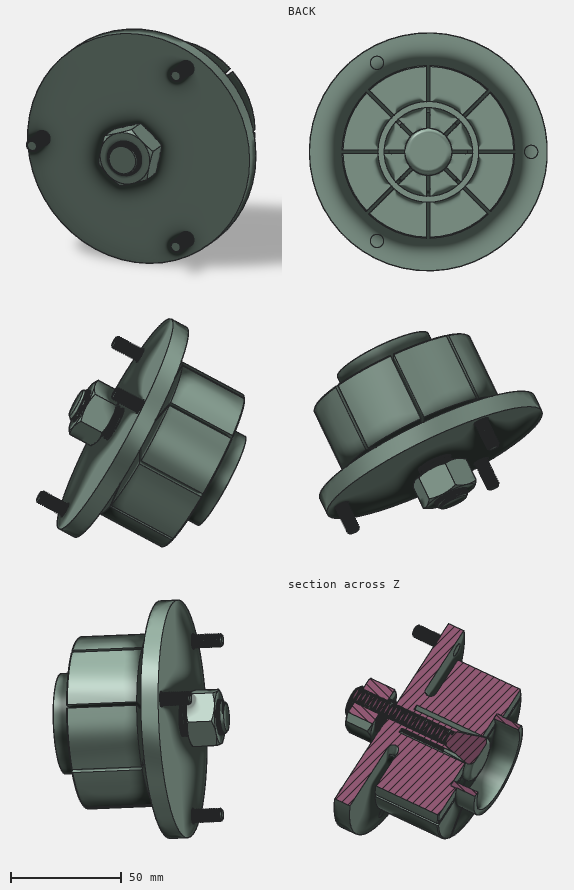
import cadquery as cq
import math


FLANGE_RADIUS = 53.75
FLANGE_THICKNESS = 8.0
NECK_LENGTH = 5.0
NECK_RADIUS = 16.7
NECK_FILLET = NECK_LENGTH / 2
JAW_RADIUS = 39.0
JAW_LENGTH = 32.5
JAW_EDGE_CHAMFER = 0.5
JAW_COUNT = 8
SLOT_WIDTH = 1.6
SLOT_END_GAP = 0.5

NECK_MIDDLE = FLANGE_THICKNESS + NECK_FILLET
JAW_FRONT = FLANGE_THICKNESS + NECK_LENGTH
JAW_BACK = JAW_FRONT + JAW_LENGTH
SLOT_FRONT = FLANGE_THICKNESS + SLOT_END_GAP

RING_RADIUS = 22.75
RING_BORE_RADIUS = 20.0
RING_SEAT_DEPTH = 3.0
RING_PROTRUSION = 9.5
RING_FRONT = JAW_BACK - RING_SEAT_DEPTH
RING_BACK = JAW_BACK + RING_PROTRUSION

BOLT_RADIUS = 8.0
BOLT_PITCH = 2.0
BOLT_TIP_CHAMFER = 1.6
BOLT_TIP = -20.23
CONE_FRONT = 30.0
CONE_BACK = 46.0
CONE_HALF_ANGLE = 11.5
CONE_EDGE_FILLET = 2.5
CONE_BACK_RADIUS = BOLT_RADIUS + (CONE_BACK - CONE_FRONT) * math.tan(math.radians(CONE_HALF_ANGLE))

NUT_ACROSS_FLATS = 24.0
NUT_THICKNESS = 13.0
NUT_BACK = -4.1
NUT_CORNER_ANGLE = 18.0
NUT_CHAMFER_ANGLE = 30.0

STUD_RADIUS = 3.0
STUD_PITCH = 1.0
STUD_PROTRUSION = 13.5
STUD_TIP_CHAMFER = 0.8
STUD_CIRCLE_RADIUS = 46.4
STUD_ANGLES = (60.0, 180.0, 300.0)
STUD_COUNTERSINK = 0.6

THREAD_DEPTH_RATIO = 0.6134
CREST_WIDTH_RATIO = 1 / 8
ROOT_WIDTH_RATIO = 7 / 8


def spun(points):
    """Solid of revolution about the Y axis from an outline of (radius, y) points."""
    return cq.Workplane("XY").polyline(points).close().revolve(360, (0, 0), (0, 1))


def threaded_rod(radius, pitch, tip_y, back_y, tip_chamfer):
    """Threaded rod on the Y axis, chamfered at its -Y tip, with a right-hand helical ridge."""
    root_radius = radius - THREAD_DEPTH_RATIO * pitch
    half_crest = 180 * CREST_WIDTH_RATIO
    half_root = 180 * ROOT_WIDTH_RATIO
    length = back_y - tip_y

    def at(distance, degrees):
        angle = math.radians(degrees)
        return (distance * math.cos(angle), distance * math.sin(angle))

    mid_flank_radius = (radius + root_radius) / 2
    mid_flank = (half_crest + half_root) / 2
    thread = (
        cq.Workplane("XY")
        .moveTo(*at(radius, -half_crest))
        .threePointArc(at(radius, 0), at(radius, half_crest))
        .threePointArc(at(mid_flank_radius, mid_flank), at(root_radius, half_root))
        .threePointArc(at(root_radius, 180), at(root_radius, -half_root))
        .threePointArc(at(mid_flank_radius, -mid_flank), at(radius, -half_crest))
        .close()
        .twistExtrude(length, 360 * length / pitch)
        .rotate((0, 0, 0), (1, 0, 0), 90)
        .translate((0, back_y, 0))
    )
    envelope = spun([
        (0, tip_y),
        (radius - tip_chamfer, tip_y),
        (radius + 1, tip_y + tip_chamfer + 1),
        (radius + 1, back_y),
        (0, back_y),
    ])
    return thread.intersect(envelope, clean=False)


def stud_places():
    """Centres of the studs as (x, z)."""
    return [
        (
            STUD_CIRCLE_RADIUS * math.cos(math.radians(angle)),
            STUD_CIRCLE_RADIUS * math.sin(math.radians(angle)),
        )
        for angle in STUD_ANGLES
    ]


def make_collet():
    """Flange, filleted neck and slotted jaws in one piece, bored for the bolt, ring and studs."""
    neck_edge_radius = NECK_RADIUS + NECK_FILLET
    body = (
        cq.Workplane("XY")
        .moveTo(0, 0)
        .lineTo(FLANGE_RADIUS, 0)
        .lineTo(FLANGE_RADIUS, FLANGE_THICKNESS)
        .lineTo(neck_edge_radius, FLANGE_THICKNESS)
        .radiusArc((NECK_RADIUS, NECK_MIDDLE), NECK_FILLET)
        .radiusArc((neck_edge_radius, JAW_FRONT), NECK_FILLET)
        .lineTo(JAW_RADIUS, JAW_FRONT)
        .lineTo(JAW_RADIUS, JAW_BACK - JAW_EDGE_CHAMFER)
        .lineTo(JAW_RADIUS - JAW_EDGE_CHAMFER, JAW_BACK)
        .lineTo(0, JAW_BACK)
        .close()
        .revolve(360, (0, 0), (0, 1))
    )

    ring_front_bore = cone_radius_at(RING_FRONT)
    bore = spun([
        (0, 0),
        (BOLT_RADIUS, 0),
        (BOLT_RADIUS, CONE_FRONT),
        (ring_front_bore, RING_FRONT),
        (RING_RADIUS, RING_FRONT),
        (RING_RADIUS, JAW_BACK),
        (0, JAW_BACK),
    ])
    body = body.cut(bore)

    slot_length = JAW_BACK - SLOT_FRONT
    slot = cq.Workplane("XY").box(
        JAW_RADIUS + 1, slot_length, SLOT_WIDTH, centered=(False, False, True)
    ).translate((0, SLOT_FRONT, 0))
    for i in range(JAW_COUNT):
        body = body.cut(slot.rotate((0, 0, 0), (0, 1, 0), i * 360 / JAW_COUNT))

    hole_mouth = STUD_RADIUS + STUD_COUNTERSINK
    stud_hole = spun([
        (0, 0),
        (hole_mouth, 0),
        (STUD_RADIUS, STUD_COUNTERSINK),
        (STUD_RADIUS, FLANGE_THICKNESS),
        (0, FLANGE_THICKNESS),
    ])
    for x, z in stud_places():
        body = body.cut(stud_hole.translate((x, 0, z)))
    return body


def cone_radius_at(y):
    """Radius of the bolt's conical head at a place along the axis."""
    return BOLT_RADIUS + (y - CONE_FRONT) * math.tan(math.radians(CONE_HALF_ANGLE))


def make_ring():
    """Plain ring seated in the jaws around the bolt's head."""
    return spun([
        (RING_BORE_RADIUS, RING_FRONT),
        (RING_RADIUS, RING_FRONT),
        (RING_RADIUS, RING_BACK),
        (RING_BORE_RADIUS, RING_BACK),
    ])


def make_bolt():
    """Draw bolt: a threaded shank widening into a conical head with a rounded rim."""
    head = (
        spun([
            (0, CONE_FRONT),
            (BOLT_RADIUS, CONE_FRONT),
            (CONE_BACK_RADIUS, CONE_BACK),
            (0, CONE_BACK),
        ])
        .faces(">Y")
        .edges()
        .fillet(CONE_EDGE_FILLET)
    )
    shank = threaded_rod(BOLT_RADIUS, BOLT_PITCH, BOLT_TIP, CONE_FRONT, BOLT_TIP_CHAMFER)
    return shank.union(head, clean=False)


def make_nut():
    """Hexagon nut with both faces chamfered to the across-flats circle."""
    flat_radius = NUT_ACROSS_FLATS / 2
    corner_radius = flat_radius / math.cos(math.radians(30))
    chamfer_height = (corner_radius - flat_radius) * math.tan(math.radians(NUT_CHAMFER_ANGLE))
    front = NUT_BACK - NUT_THICKNESS
    prism = (
        cq.Workplane("XZ", origin=(0, NUT_BACK, 0))
        .polygon(6, 2 * corner_radius)
        .extrude(NUT_THICKNESS)
        .rotate((0, 0, 0), (0, 1, 0), -NUT_CORNER_ANGLE)
    )
    turned_blank = spun([
        (BOLT_RADIUS, front),
        (flat_radius, front),
        (corner_radius, front + chamfer_height),
        (corner_radius, NUT_BACK - chamfer_height),
        (flat_radius, NUT_BACK),
        (BOLT_RADIUS, NUT_BACK),
    ])
    return prism.intersect(turned_blank)


def make_studs():
    """Equal studs, each with a plain shank filling the flange's hole and a thread standing out of it."""
    thread = threaded_rod(STUD_RADIUS, STUD_PITCH, -STUD_PROTRUSION, STUD_COUNTERSINK, STUD_TIP_CHAMFER)
    shank = spun([
        (0, STUD_COUNTERSINK),
        (STUD_RADIUS, STUD_COUNTERSINK),
        (STUD_RADIUS, FLANGE_THICKNESS),
        (0, FLANGE_THICKNESS),
    ])
    stud = thread.union(shank, clean=False)
    return [stud.translate((x, 0, z)) for x, z in stud_places()]


collet = make_collet()
ring = make_ring()
bolt = make_bolt()
nut = make_nut()
studs = make_studs()

result = cq.Compound.makeCompound([
    collet.val(),
    ring.val(),
    bolt.val(),
    nut.val(),
    *[stud.val() for stud in studs],
])